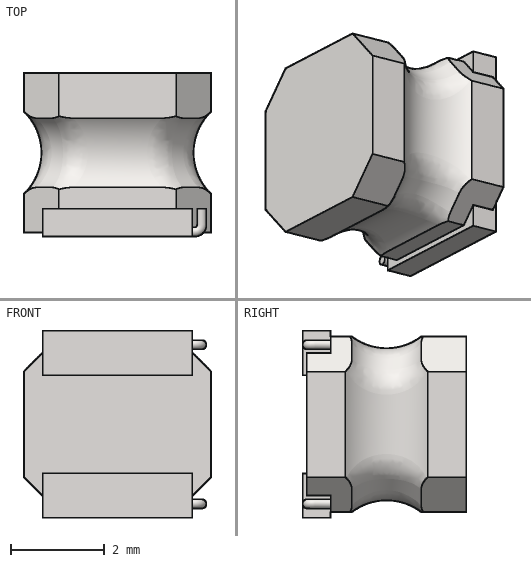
import cadquery as cq
import math

CORE_WIDTH = 4.0
PART_HEIGHT = 4.0
PART_DEPTH = 3.5
LIP_THICKNESS = 0.09

CORE_HEIGHT = 3.75
CORE_DEPTH = PART_DEPTH - LIP_THICKNESS
CORNER_CHAMFER = 0.75

FLAT_GROOVE_DEPTH = 0.25
CORNER_GROOVE_DEPTH = 0.39
GROOVE_WIDTH = 1.48
POLE_EDGE_RADIUS = 0.75

TERMINAL_WIDTH = 3.2
TERMINAL_DEPTH = 0.6
TERMINAL_LIP_HEIGHT = 0.95
TERMINAL_BLOCK_HEIGHT = 0.48

WIRE_RADIUS = 0.1
WIRE_STUB = 0.05
WIRE_BEND_RADIUS = 0.15
WIRE_HEIGHT = 1.7

CORE_FRONT = -CORE_DEPTH / 2
PART_FRONT = CORE_FRONT - LIP_THICKNESS
TERMINAL_BACK = PART_FRONT + TERMINAL_DEPTH

FLAT_DISTANCE = CORE_HEIGHT / 2
CORNER_DISTANCE = (CORE_WIDTH / 2 + CORE_HEIGHT / 2 - CORNER_CHAMFER) / math.sqrt(2)
POLE_FLAT_DISTANCE = FLAT_DISTANCE - FLAT_GROOVE_DEPTH
POLE_CORNER_DISTANCE = CORNER_DISTANCE - CORNER_GROOVE_DEPTH


def arc_radius(width, depth):
    """Radius of the circular arc with this chord width and depth."""
    return ((width / 2) ** 2 + depth ** 2) / (2 * depth)


FLAT_GROOVE_RADIUS = arc_radius(GROOVE_WIDTH, FLAT_GROOVE_DEPTH)
CORNER_GROOVE_RADIUS = arc_radius(GROOVE_WIDTH, CORNER_GROOVE_DEPTH)


def chamfered_prism():
    return (
        cq.Workplane("XY")
        .box(CORE_WIDTH, CORE_DEPTH, CORE_HEIGHT)
        .edges("|Y")
        .chamfer(CORNER_CHAMFER)
    )


def groove_cutter(angle, pole_distance, radius):
    """Cylinder that hollows the side facing the given angle in the XZ plane."""
    return (
        cq.Workplane("YZ")
        .center(0, pole_distance + radius)
        .circle(radius)
        .extrude(CORE_WIDTH, both=True)
        .rotate((0, 0, 0), (0, 1, 0), angle)
    )


def is_groove_ridge(edge):
    """True for the curved edges where two neighbouring groove cylinders meet."""
    centred_in_groove = abs(edge.Center().y) < GROOVE_WIDTH / 4
    return centred_in_groove and edge.geomType() != "LINE"


def grooved_core():
    core = chamfered_prism()
    for quarter in range(4):
        angle = 90 * quarter
        core = core.cut(groove_cutter(angle, POLE_FLAT_DISTANCE, FLAT_GROOVE_RADIUS))
        core = core.cut(groove_cutter(angle + 45, POLE_CORNER_DISTANCE, CORNER_GROOVE_RADIUS))
    ridges = [edge for edge in core.edges().vals() if is_groove_ridge(edge)]
    return core.newObject(ridges).fillet(POLE_EDGE_RADIUS)


def terminal_clip():
    """L-shaped bar of the top terminal: a block over the core and a lip down its front."""
    top = PART_HEIGHT / 2
    return (
        cq.Workplane("YZ")
        .polyline([
            (PART_FRONT, top),
            (TERMINAL_BACK, top),
            (TERMINAL_BACK, top - TERMINAL_BLOCK_HEIGHT),
            (CORE_FRONT, top - TERMINAL_BLOCK_HEIGHT),
            (CORE_FRONT, top - TERMINAL_LIP_HEIGHT),
            (PART_FRONT, top - TERMINAL_LIP_HEIGHT),
        ])
        .close()
        .extrude(TERMINAL_WIDTH / 2, both=True)
    )


def wire_end():
    """Round wire of the top terminal, from the clip's +X end to the clip's back plane."""
    start_x = TERMINAL_WIDTH / 2
    start_y = PART_FRONT + WIRE_RADIUS
    bend_x = start_x + WIRE_STUB
    bend_y = start_y + WIRE_BEND_RADIUS
    path = (
        cq.Workplane("XY", origin=(0, 0, WIRE_HEIGHT))
        .moveTo(start_x, start_y)
        .lineTo(bend_x, start_y)
        .radiusArc((bend_x + WIRE_BEND_RADIUS, bend_y), -WIRE_BEND_RADIUS)
        .lineTo(bend_x + WIRE_BEND_RADIUS, TERMINAL_BACK)
    )
    return (
        cq.Workplane("YZ", origin=(start_x, start_y, WIRE_HEIGHT))
        .circle(WIRE_RADIUS)
        .sweep(path)
    )


def make_terminal(side):
    """Terminal with its wire end: side is +1 at the top, -1 at the bottom."""
    terminal = terminal_clip().union(wire_end())
    return terminal if side > 0 else terminal.mirror("XY")


def make_core(terminals):
    """Grooved core with a recess for each terminal."""
    core = grooved_core()
    for terminal in terminals:
        core = core.cut(terminal)
    return core


terminals = [make_terminal(side) for side in (1, -1)]
core = make_core(terminals)

result = cq.Compound.makeCompound([
    core.solids().val(),
    *[terminal.solids().val() for terminal in terminals],
])